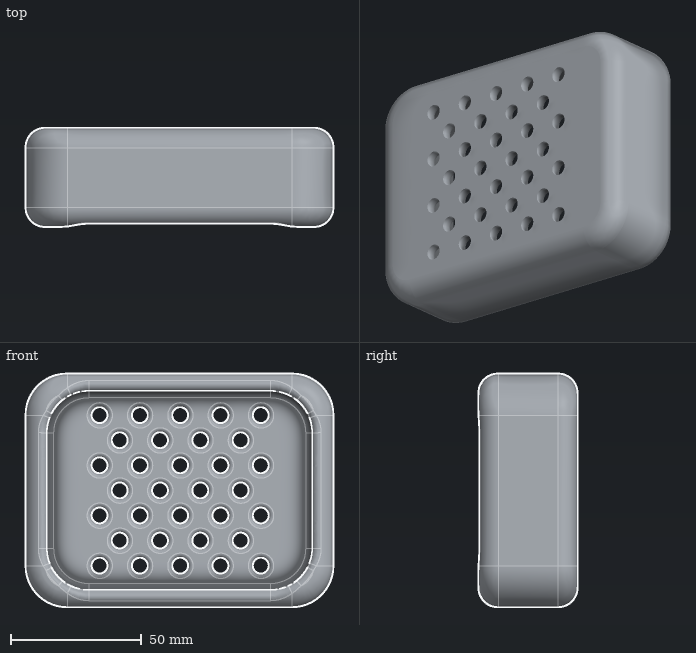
import cadquery as cq

body_length = 117.99
body_depth = 38.1
body_height = 89.56
body_corner_radius = 16
body_edge_radius = 7.62

pocket_length = 101.6
pocket_height = 76.2
pocket_corner_radius = 16
floor_thickness = 5.3
pocket_floor_radius = 2.54
rim_radius = 2.45

hole_diameter = 6.0
hole_mouth_radius = 1.85
hole_pitch_x = 15.43
hole_pitch_z = 9.6
pattern_offset_x = 0.25
hole_rows = 7
holes_in_long_row = 5

front_y = -body_depth / 2
back_y = body_depth / 2
floor_y = back_y - floor_thickness
pocket_depth = body_depth - floor_thickness


def rounded_block(length, height, start_y, depth, corner_radius):
    """Block centred on the Y axis, running from start_y towards +Y, with rounded corners along Y."""
    block = cq.Workplane("XZ", origin=(0, start_y, 0)).rect(length, height).extrude(-depth)
    return block.edges("|Y").fillet(corner_radius)


def make_body():
    block = rounded_block(body_length, body_height, front_y, body_depth, body_corner_radius)
    return block.faces("<Y or >Y").edges().fillet(body_edge_radius)


def make_pocket():
    pocket = rounded_block(pocket_length, pocket_height, front_y, pocket_depth, pocket_corner_radius)
    return pocket.faces(">Y").edges().fillet(pocket_floor_radius)


def hole_centres():
    """Rows alternate between the full count and one hole fewer, shifted by half a pitch."""
    centres = []
    for row in range(hole_rows):
        count = holes_in_long_row - row % 2
        z = (row - (hole_rows - 1) / 2) * hole_pitch_z
        for column in range(count):
            x = pattern_offset_x + (column - (count - 1) / 2) * hole_pitch_x
            centres.append((x, z))
    return centres


def make_hole_cutter():
    """Hole through the floor whose mouth flares out to the pocket floor along an arc."""
    bore_radius = hole_diameter / 2
    mouth_radius = bore_radius + hole_mouth_radius
    arc_end_y = floor_y + hole_mouth_radius
    profile = (
        cq.Workplane("XY")
        .moveTo(0, floor_y)
        .lineTo(mouth_radius, floor_y)
        .radiusArc((bore_radius, arc_end_y), hole_mouth_radius)
        .lineTo(bore_radius, back_y)
        .lineTo(0, back_y)
        .close()
    )
    return profile.revolve(360, (0, 0, 0), (0, 1, 0))


def round_rim(tray):
    """Round the edge loop where the pocket wall meets the rounded front of the body."""
    margin = 0.5
    rim_zone = cq.selectors.BoxSelector(
        (-pocket_length / 2 - margin, front_y - margin, -pocket_height / 2 - margin),
        (pocket_length / 2 + margin, front_y + margin, pocket_height / 2 + margin),
        boundingbox=True,
    )
    return tray.edges(rim_zone).fillet(rim_radius)


tray = round_rim(make_body().cut(make_pocket()))
hole_cutter = make_hole_cutter()
for x, z in hole_centres():
    tray = tray.cut(hole_cutter.translate((x, 0, z)))

result = tray